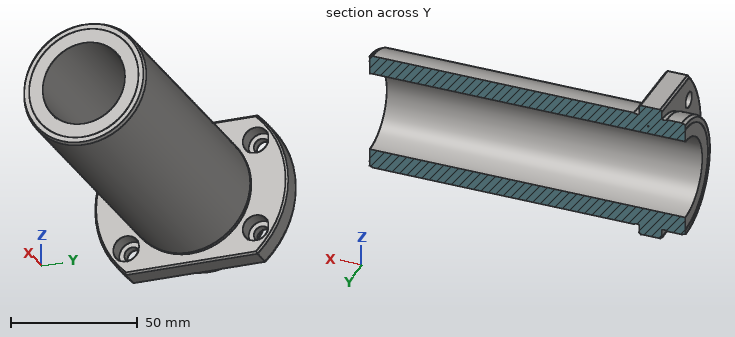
import cadquery as cq

LENGTH = 135.0
BODY_DIAMETER = 52.0
BORE_DIAMETER = 35.0
END_CHAMFER_LENGTH = 1.5
END_CHAMFER_DEPTH = 0.7

RECESS_DIAMETER = 46.5
RECESS_DEPTH = 0.1

GROOVE_WIDTH = 2.7
GROOVE_DEPTH = 0.4
GROOVE_COVERED_WIDTH = 0.7

FLANGE_START = 10.0
FLANGE_THICKNESS = 10.0
FLANGE_DIAMETER = 82.0
FLANGE_HEIGHT = 60.0
FLANGE_CHAMFER = 0.8

HOLE_DIAMETER = 6.6
HOLE_SPACING_Y = 55.0
HOLE_SPACING_Z = 38.0
COUNTERBORE_DIAMETER = 11.0
COUNTERBORE_DEPTH = 6.5

FLANGE_END = FLANGE_START + FLANGE_THICKNESS


def cylinder_along_x(diameter, start, end):
    """Solid cylinder on the X axis between two X positions."""
    return cq.Workplane("YZ", origin=(start, 0, 0)).circle(diameter / 2).extrude(end - start)


def make_sleeve():
    """Revolved solid sleeve with chamfered outer rims and an arc groove at each flange face."""
    radius = BODY_DIAMETER / 2
    rim_radius = radius - END_CHAMFER_DEPTH
    groove_radius = radius - GROOVE_DEPTH
    first_groove_end = FLANGE_START + GROOVE_COVERED_WIDTH
    first_groove_start = first_groove_end - GROOVE_WIDTH
    second_groove_start = FLANGE_END - GROOVE_COVERED_WIDTH
    second_groove_end = second_groove_start + GROOVE_WIDTH
    return (
        cq.Workplane("XY")
        .moveTo(0, 0)
        .lineTo(0, rim_radius)
        .lineTo(END_CHAMFER_LENGTH, radius)
        .lineTo(first_groove_start, radius)
        .threePointArc((first_groove_end - GROOVE_WIDTH / 2, groove_radius), (first_groove_end, radius))
        .lineTo(second_groove_start, radius)
        .threePointArc((second_groove_end - GROOVE_WIDTH / 2, groove_radius), (second_groove_end, radius))
        .lineTo(LENGTH - END_CHAMFER_LENGTH, radius)
        .lineTo(LENGTH, rim_radius)
        .lineTo(LENGTH, 0)
        .close()
        .revolve(360, (0, 0, 0), (1, 0, 0))
    )


def make_flange():
    """Two-flat flange with both face outlines chamfered."""
    disc = cylinder_along_x(FLANGE_DIAMETER, FLANGE_START, FLANGE_END)
    slab = cq.Workplane("XY").box(2 * FLANGE_END, FLANGE_DIAMETER, FLANGE_HEIGHT)
    return disc.intersect(slab).faces("<X or >X").edges().chamfer(FLANGE_CHAMFER)


def drill_mounting_holes(part):
    """Four through holes, counterbored from the +X face of the flange."""
    return (
        part.copyWorkplane(cq.Workplane("YZ", origin=(FLANGE_END, 0, 0)))
        .rect(HOLE_SPACING_Y, HOLE_SPACING_Z, forConstruction=True)
        .vertices()
        .cboreHole(HOLE_DIAMETER, COUNTERBORE_DIAMETER, COUNTERBORE_DEPTH, FLANGE_THICKNESS)
    )


flange = drill_mounting_holes(make_flange())
bore = cylinder_along_x(BORE_DIAMETER, 0, LENGTH)
front_recess = cylinder_along_x(RECESS_DIAMETER, 0, RECESS_DEPTH)
back_recess = cylinder_along_x(RECESS_DIAMETER, LENGTH - RECESS_DEPTH, LENGTH)
result = make_sleeve().union(flange).cut(bore).cut(front_recess).cut(back_recess)